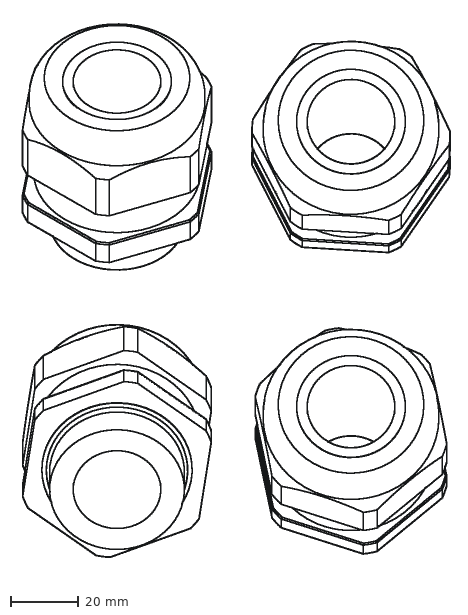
import cadquery as cq
import math

across_flats = 52.9
across_corners = 58.83

seal_bottom_z = 11.45
body_hex_bottom_z = 13.0
body_hex_top_z = 21.0
cap_hex_bottom_z = 33.1
cap_corner_z = 48.5
cap_cone_top_z = 51.2
dome_start_z = 54.1
total_height = 61.5

thread_diameter = 40.0
neck_diameter = 49.44
dome_diameter = 52.2
dome_flat_diameter = 43.2
bore_diameter = 26.0

collar_diameter = 44.6
collar_thickness = 0.25
seal_section_radius = 1.0

body_hex_chamfer = 0.45

recess_diameter = 32.3
lip_radius = 1.45


def cylinder(diameter, bottom_z, top_z):
    """Solid cylinder on the Z axis."""
    return cq.Workplane("XY").workplane(offset=bottom_z).circle(diameter / 2).extrude(top_z - bottom_z)


def rounded_hexagon(bottom_z, top_z):
    """Hexagonal prism with flats facing +Y and -Y and its corners rounded about the axis."""
    sharp_corner_diameter = across_flats / math.cos(math.pi / 6)
    prism = (
        cq.Workplane("XY")
        .workplane(offset=bottom_z)
        .polygon(6, sharp_corner_diameter)
        .extrude(top_z - bottom_z)
    )
    return prism.intersect(cylinder(across_corners, bottom_z, top_z))


def body_hexagon():
    """Lower hexagon with a small chamfer around its top face."""
    prism = rounded_hexagon(body_hex_bottom_z, body_hex_top_z)
    return prism.faces(">Z").chamfer(body_hex_chamfer)


def cap_hexagon():
    """Cap nut hexagon, its upper corners cut back by a cone."""
    cone_envelope = (
        cq.Workplane("XZ")
        .moveTo(0, cap_hex_bottom_z)
        .lineTo(across_corners / 2, cap_hex_bottom_z)
        .lineTo(across_corners / 2, cap_corner_z)
        .lineTo(dome_diameter / 2, cap_cone_top_z)
        .lineTo(0, cap_cone_top_z)
        .close()
        .revolve(360, (0, 0, 0), (0, 1, 0))
    )
    return rounded_hexagon(cap_hex_bottom_z, cap_cone_top_z).intersect(cone_envelope)


def cap_dome():
    """Round cap top: its arc leaves the cylinder tangentially and ends at the flat top."""
    dome_radius = dome_diameter / 2
    flat_radius = dome_flat_diameter / 2
    inset = dome_radius - flat_radius
    rise = total_height - dome_start_z
    arc_radius = (inset**2 + rise**2) / (2 * inset)
    half_sweep = math.asin(rise / arc_radius) / 2
    arc_mid = (
        dome_radius - arc_radius * (1 - math.cos(half_sweep)),
        dome_start_z + arc_radius * math.sin(half_sweep),
    )
    return (
        cq.Workplane("XZ")
        .moveTo(0, cap_cone_top_z)
        .lineTo(dome_radius, cap_cone_top_z)
        .lineTo(dome_radius, dome_start_z)
        .threePointArc(arc_mid, (flat_radius, total_height))
        .lineTo(0, total_height)
        .close()
        .revolve(360, (0, 0, 0), (0, 1, 0))
    )


def sealing_ring():
    """O-ring around the top of the thread, its section centered on the thread surface."""
    thread_radius = thread_diameter / 2
    section_center_z = seal_bottom_z + seal_section_radius
    return (
        cq.Workplane("XZ")
        .moveTo(thread_radius, seal_bottom_z)
        .threePointArc(
            (thread_radius + seal_section_radius, section_center_z),
            (thread_radius, section_center_z + seal_section_radius),
        )
        .close()
        .revolve(360, (0, 0, 0), (0, 1, 0))
    )


def top_recess():
    """Cutter for the recess, flaring out over the convex lip to the top face."""
    recess_radius = recess_diameter / 2
    floor_z = total_height - lip_radius
    lip_offset = lip_radius * (1 - math.sqrt(0.5))
    return (
        cq.Workplane("XZ")
        .moveTo(0, floor_z)
        .lineTo(recess_radius, floor_z)
        .threePointArc(
            (recess_radius + lip_offset, total_height - lip_offset),
            (recess_radius + lip_radius, total_height),
        )
        .lineTo(0, total_height)
        .close()
        .revolve(360, (0, 0, 0), (0, 1, 0))
    )


thread = cylinder(thread_diameter, 0, body_hex_bottom_z)
collar = cylinder(collar_diameter, body_hex_bottom_z - collar_thickness, body_hex_bottom_z)
neck = cylinder(neck_diameter, body_hex_bottom_z, cap_hex_bottom_z)
bore = cylinder(bore_diameter, 0, total_height)

gland = thread.union(sealing_ring()).union(collar)
gland = gland.union(body_hexagon()).union(neck)
gland = gland.union(cap_hexagon()).union(cap_dome())

result = gland.cut(top_recess()).cut(bore)